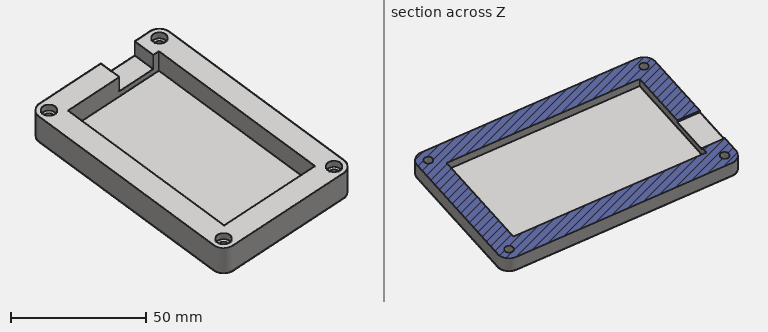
import cadquery as cq

length = 104.0
width = 66.0
height = 13.0
corner_radius = 5.0

wall = 10.0
pocket_depth = 10.0

notch_depth = 7.3
notch_y_min = 3.0
notch_y_max = 20.2

hole_diameter = 3.4
counterbore_diameter = 6.0
counterbore_depth = 3.1


def make_block():
    """Block with its base on z = 0 and rounded vertical edges."""
    block = cq.Workplane("XY").box(length, width, height, centered=(True, True, False))
    return block.edges("|Z").fillet(corner_radius)


def make_pocket():
    return (
        cq.Workplane("XY", origin=(0, 0, height))
        .rect(length - 2 * wall, width - 2 * wall)
        .extrude(-pocket_depth)
    )


def make_notch():
    """Channel from the outer -X face to the pocket."""
    notch_width = notch_y_max - notch_y_min
    return cq.Workplane("XY").box(wall, notch_width, notch_depth, centered=False).translate(
        (-length / 2, notch_y_min, height - notch_depth)
    )


def drill_corner_holes(body):
    return (
        body.faces(">Z")
        .workplane(origin=(0, 0, height))
        .rect(length - 2 * corner_radius, width - 2 * corner_radius, forConstruction=True)
        .vertices()
        .cboreHole(hole_diameter, counterbore_diameter, counterbore_depth)
    )


tray = make_block().cut(make_pocket()).cut(make_notch())
result = drill_corner_holes(tray)